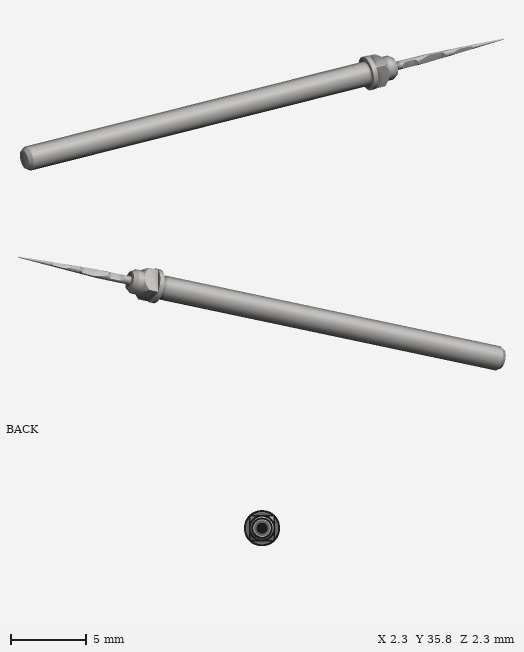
import cadquery as cq

total_length = 35.8

shaft_dia = 1.65
shaft_length = 25.53
end_section_length = 2.97
flange_dia = 2.3
flange_length = 0.32
bevel_radial = 0.18
bevel_axial = 0.3

flats_width = shaft_dia
flats_length = 1.0
collar_length = 0.43
shank_dia = 0.6
shank_length = 0.2

needle_dia = 0.57
tip_dia = 0.07
taper_length = 5.73
web_thickness = 0.18
root_web_thickness = 0.32
first_crest_from_tip = 2.08
crest_count = 3
crest_pitch = 2.22
steep_length = 0.43
ramp_length = 0.95
root_relief_length = 1.18
root_slope_length = 0.2

shaft_radius = shaft_dia / 2
flange_radius = flange_dia / 2
needle_radius = needle_dia / 2
flange_start = shaft_length
flats_start = flange_start + flange_length
collar_start = flats_start + flats_length
nose_start = collar_start + collar_length
nose_end = nose_start + bevel_axial
shank_end = nose_end + shank_length
bevel_end_radius = shaft_radius - bevel_radial


def revolve_profile(points):
    """Turn a closed (radius, Y) outline about the Y axis."""
    return cq.Workplane("XY").polyline(points).close().revolve(360, (0, 0, 0), (0, 1, 0))


def cylinder(radius, start, length):
    """Round bar along +Y."""
    return cq.Workplane("XZ", origin=(0, start, 0)).circle(radius).extrude(-length)


def make_handle():
    end_section = revolve_profile([
        (0, 0),
        (bevel_end_radius, 0),
        (shaft_radius, bevel_axial),
        (shaft_radius, end_section_length),
        (0, end_section_length),
    ])
    shaft = cylinder(shaft_radius, end_section_length, shaft_length - end_section_length)
    flange = cylinder(flange_radius, flange_start, flange_length)
    return shaft.union(end_section, clean=False).union(flange, clean=False)


def make_head():
    square = (
        cq.Workplane("XZ", origin=(0, flats_start, 0))
        .rect(flats_width, flats_width)
        .extrude(-flats_length)
    )
    corner_trim = revolve_profile([
        (0, flats_start),
        (flange_radius, flats_start),
        (flange_radius, collar_start - (flange_radius - shaft_radius)),
        (shaft_radius, collar_start),
        (0, collar_start),
    ])
    nose = revolve_profile([
        (0, collar_start),
        (shaft_radius, collar_start),
        (shaft_radius, nose_start),
        (bevel_end_radius, nose_end),
        (0, nose_end),
    ])
    return square.intersect(corner_trim).union(nose)


def relief(crest_y, length, web, tip_side_slope, root_side_slope):
    """Pair of wedge cutters on +X and -X, reaching from crest_y toward the root."""
    root_y = crest_y - length
    outer = needle_dia
    outline = [
        (outer, crest_y),
        (needle_radius, crest_y),
        (web / 2, crest_y - tip_side_slope),
        (web / 2, root_y + root_side_slope),
        (needle_radius, root_y),
        (outer, root_y),
    ]
    cutter = cq.Workplane("XY").polyline(outline).close().extrude(needle_dia, both=True)
    return cutter.union(cutter.mirror("YZ"))


def make_needle():
    taper_start = total_length - taper_length
    needle = revolve_profile([
        (0, shank_end),
        (needle_radius, shank_end),
        (needle_radius, taper_start),
        (tip_dia / 2, total_length),
        (0, total_length),
    ])
    crests = [total_length - first_crest_from_tip - i * crest_pitch for i in range(crest_count)]
    for crest_y in crests[:-1]:
        needle = needle.cut(relief(crest_y, crest_pitch, web_thickness, steep_length, ramp_length))
    root_relief = relief(
        crests[-1], root_relief_length, root_web_thickness, root_slope_length, root_slope_length
    )
    shank = cylinder(shank_dia / 2, nose_end, shank_length)
    return needle.cut(root_relief).union(shank)


result = make_handle().union(make_head(), clean=False).union(make_needle(), clean=False)